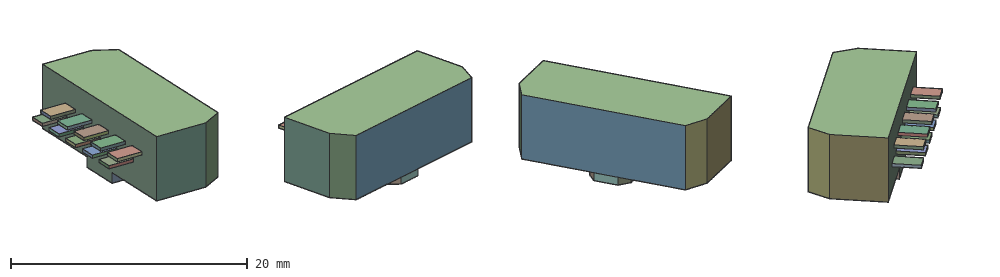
import cadquery as cq

shell_width = 17.4
shell_depth = 7.0
shell_height = 6.0
corner_cut_x = 1.13
corner_cut_y = 2.0

key_width = 3.83
key_length = 6.5
key_height = 1.0
key_corner_cut_x = 0.8
key_corner_cut_y = 0.9

contacts_per_row = 5
contact_pitch = 2.54
contact_width = 1.51
contact_thickness = 0.3
contact_length = 2.5
upper_row_z = 3.58
lower_row_z = 2.44
row_shift = contact_pitch / 4


def cut_corner_plate(width, depth, cut_x, cut_y, z_bottom, height):
    """Plate from Y = 0 to Y = depth with both far corners cut off."""
    half_width = width / 2
    outline = [
        (-half_width, 0),
        (half_width, 0),
        (half_width, depth - cut_y),
        (half_width - cut_x, depth),
        (cut_x - half_width, depth),
        (-half_width, depth - cut_y),
    ]
    return cq.Workplane("XY").workplane(offset=z_bottom).polyline(outline).close().extrude(height)


def contact_row(center_x, center_z):
    """Row of flat contacts running from the contact face toward -Y."""
    return (
        cq.Workplane("XZ", origin=(center_x, 0, center_z))
        .rarray(contact_pitch, 0.17, contacts_per_row, 1)
        .rect(contact_width, contact_thickness)
        .extrude(contact_length)
    )


shell = cut_corner_plate(shell_width, shell_depth, corner_cut_x, corner_cut_y, 0, shell_height)
key = cut_corner_plate(
    key_width, key_length, key_corner_cut_x, key_corner_cut_y, -key_height, key_height
)
upper_contacts = contact_row(row_shift, upper_row_z)
lower_contacts = contact_row(-row_shift, lower_row_z)

result = shell.union(key).union(upper_contacts).union(lower_contacts)